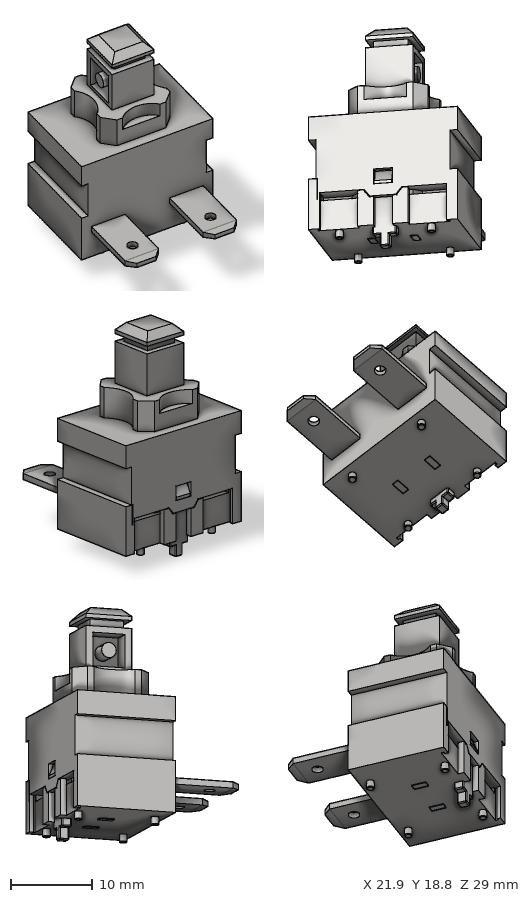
import cadquery as cq


BODY_LENGTH = 12.8
BODY_WIDTH = 18.8
WAIST_WIDTH = 16.9
CLIP_TOP_Z = 6.5
FLANGE_BOTTOM_Z = 11.5
BODY_TOP_Z = 14.5
FACE_X = -BODY_LENGTH / 2

RECESS_DEPTH = 0.8
RECESS_HALF_WIDTH = 8.0
RECESS_TOP_Z = 4.65
LIP_THICKNESS = 0.5
LIP_UNDERCUT = 0.3
SEAM_START_Y = 8.25
SEAM_WIDTH = 0.08
SEAM_DEPTH = 0.1

SLOT_BOTTOM_Z = 3.85
SLOT_DEPTH = 2.3
SLOT_RIB_HALF_WIDTH = 4.45
SLOT_RIB_HEIGHT = 0.95

POST_INNER_Y = 1.2
POST_OUTER_Y = 3.17
POST_CLEARANCE = 0.07
LOBE_BOTTOM_Z = 3.75
LOBE_TOP_HALF_WIDTH = 2.4
LOBE_BOTTOM_HALF_WIDTH = 1.65

WINDOW_WIDTH = 2.4
WINDOW_BOTTOM_Z = 5.3
WINDOW_TOP_Z = 7.2
WINDOW_DEPTH = 0.6
LATCH_WIDTH = 2.2
LATCH_SETBACK = 0.05
LATCH_RAMP_START_Z = 5.7
LATCH_TOP_Z = 7.05

COLLAR_SIZE = 10.0
COLLAR_TOP_Z = 18.5
COLLAR_CHAMFER = 1.5
SCALLOP_RADIUS = 3.7
SCALLOP_DEPTH = 1.15
POCKET_FLOOR_Z = 16.7

PLUNGER_SIZE = 6.0
PLUNGER_TOP_Z = 24.0
NECK_SIZE = 4.4
NECK_TOP_Z = 25.0
CAP_TOP_Z = 26.5
CAP_CHAMFER = 1.0
CAVITY_SIZE = 4.2
CAVITY_DEPTH = 2.5
CAVITY_CENTER_Z = 21.1
CAVITY_PIN_DIAMETER = 1.9

BLADE_Y = 5.58
BLADE_WIDTH = 4.8
BLADE_LENGTH = 9.1
BLADE_BOTTOM_Z = 3.85
BLADE_THICKNESS = 0.8
BLADE_TIP_LENGTH = 1.1
BLADE_TIP_WIDTH = 2.7
BLADE_TIP_THICKNESS = 0.65
BLADE_HOLE_DIAMETER = 1.4
BLADE_HOLE_X = 12.18

PIN_X = 5.0
PIN_Y = 5.8
PIN_DIAMETER = 0.95
PIN_LENGTH = 1.0
PIN_CHAMFER = 0.1
PEG_THICKNESS = 1.3
PEG_WIDTH = 3.0
PEG_SHOULDER_LENGTH = 1.0
PEG_TIP_WIDTH = 1.2
PEG_LENGTH = 2.5
PEG_CHAMFER = 0.15
PAD_X = -0.3
PAD_Y = 2.68
PAD_LENGTH = 1.9
PAD_WIDTH = 0.9
PAD_HEIGHT = 0.1


def box(x_range, y_range, z_range):
    """Box from its limits along each axis."""
    (x0, x1), (y0, y1), (z0, z1) = x_range, y_range, z_range
    return cq.Workplane("XY").box(x1 - x0, y1 - y0, z1 - z0, centered=False).translate((x0, y0, z0))


def column(length, width, z_bottom, z_top):
    """Rectangular block centred on the plunger axis."""
    return box((-length / 2, length / 2), (-width / 2, width / 2), (z_bottom, z_top))


def make_housing():
    flange = column(BODY_LENGTH, BODY_WIDTH, FLANGE_BOTTOM_Z, BODY_TOP_Z)
    waist = column(BODY_LENGTH, WAIST_WIDTH, CLIP_TOP_Z, FLANGE_BOTTOM_Z)
    base = column(BODY_LENGTH, BODY_WIDTH, 0, CLIP_TOP_Z)
    return flange.union(waist).union(base)


def make_recess():
    """Front recess, the undercuts behind its side lips and the slot above the base."""
    recess_x = FACE_X + RECESS_DEPTH
    half = RECESS_HALF_WIDTH
    recess = box((FACE_X, recess_x), (-half, half), (0, RECESS_TOP_Z))
    reach = half + LIP_UNDERCUT
    undercut = box((FACE_X + LIP_THICKNESS, recess_x), (-reach, reach), (0, RECESS_TOP_Z))

    slot_x = FACE_X + SLOT_DEPTH
    slot = box((recess_x, slot_x), (-half, half), (SLOT_BOTTOM_Z, RECESS_TOP_Z))
    rib_front_half_width = SLOT_RIB_HALF_WIDTH - SLOT_RIB_HEIGHT
    rib = (
        cq.Workplane("XY")
        .workplane(offset=SLOT_BOTTOM_Z)
        .polyline([
            (slot_x, -SLOT_RIB_HALF_WIDTH),
            (slot_x - SLOT_RIB_HEIGHT, -rib_front_half_width),
            (slot_x - SLOT_RIB_HEIGHT, rib_front_half_width),
            (slot_x, SLOT_RIB_HALF_WIDTH),
        ])
        .close()
        .extrude(RECESS_TOP_Z - SLOT_BOTTOM_Z)
    )
    return recess.union(undercut).union(slot.cut(rib))


def make_lobe(clearance):
    """Tapered lobe hanging below the upper housing, enlarged by a clearance."""
    top = LOBE_TOP_HALF_WIDTH + clearance
    bottom = LOBE_BOTTOM_HALF_WIDTH + clearance
    bottom_z = LOBE_BOTTOM_Z - clearance
    return (
        cq.Workplane("YZ")
        .workplane(offset=FACE_X)
        .polyline([(-top, RECESS_TOP_Z), (-bottom, bottom_z), (bottom, bottom_z), (top, RECESS_TOP_Z)])
        .close()
        .extrude(RECESS_DEPTH)
    )


def make_posts():
    """Pair of guide posts, notched to clear the lobe."""
    x_range = (FACE_X, FACE_X + RECESS_DEPTH)
    z_range = (0, RECESS_TOP_Z - POST_CLEARANCE)
    posts = box(x_range, (-POST_OUTER_Y, POST_OUTER_Y), z_range)
    posts = posts.cut(box(x_range, (-POST_INNER_Y, POST_INNER_Y), z_range))
    return posts.cut(make_lobe(POST_CLEARANCE))


def make_window():
    """Latch window, less the ramped latch nose standing in it."""
    inner_x = FACE_X + WINDOW_DEPTH
    nose_x = FACE_X + LATCH_SETBACK
    half = WINDOW_WIDTH / 2
    opening = box((FACE_X, inner_x), (-half, half), (WINDOW_BOTTOM_Z, WINDOW_TOP_Z))
    latch = (
        cq.Workplane("XZ")
        .polyline([
            (nose_x, WINDOW_BOTTOM_Z),
            (nose_x, LATCH_RAMP_START_Z),
            (inner_x, LATCH_TOP_Z),
            (inner_x, WINDOW_BOTTOM_Z),
        ])
        .close()
        .extrude(LATCH_WIDTH / 2, both=True)
    )
    return opening.cut(latch)


def make_lip_seam():
    """Fine groove down the +Y lip."""
    return box(
        (FACE_X, FACE_X + SEAM_DEPTH),
        (SEAM_START_Y, SEAM_START_Y + SEAM_WIDTH),
        (SLOT_BOTTOM_Z, CLIP_TOP_Z),
    )


def make_collar():
    """Chamfered square collar with open scallops along Y and blind ones along X."""
    collar = column(COLLAR_SIZE, COLLAR_SIZE, BODY_TOP_Z, COLLAR_TOP_Z).edges("|Z").chamfer(COLLAR_CHAMFER)
    offset = COLLAR_SIZE / 2 - SCALLOP_DEPTH + SCALLOP_RADIUS
    scallop = cq.Workplane("XY").circle(SCALLOP_RADIUS).extrude(COLLAR_TOP_Z)
    for side in (-1, 1):
        collar = collar.cut(scallop.translate((0, side * offset, BODY_TOP_Z)))
        collar = collar.cut(scallop.translate((side * offset, 0, POCKET_FLOOR_Z)))
    return collar


def make_plunger():
    """Square plunger with a grooved neck, bevelled cap and a cavity holding a round pin."""
    stem = column(PLUNGER_SIZE, PLUNGER_SIZE, COLLAR_TOP_Z, PLUNGER_TOP_Z)
    neck = column(NECK_SIZE, NECK_SIZE, PLUNGER_TOP_Z, NECK_TOP_Z)
    cap = column(PLUNGER_SIZE, PLUNGER_SIZE, NECK_TOP_Z, CAP_TOP_Z).faces(">Z").chamfer(CAP_CHAMFER)
    cavity = (
        cq.Workplane("XZ", origin=(0, -PLUNGER_SIZE / 2, CAVITY_CENTER_Z))
        .rect(CAVITY_SIZE, CAVITY_SIZE)
        .circle(CAVITY_PIN_DIAMETER / 2)
        .extrude(-CAVITY_DEPTH)
    )
    return stem.cut(cavity).union(neck).union(cap)


def make_blade():
    """Blade terminal on the +X face, narrowed and thinned at its tip."""
    root_x = BODY_LENGTH / 2
    tip_x = root_x + BLADE_LENGTH
    taper_x = tip_x - BLADE_TIP_LENGTH
    half = BLADE_WIDTH / 2
    tip_half = BLADE_TIP_WIDTH / 2
    plan = (
        cq.Workplane("XY")
        .polyline([
            (root_x, -half),
            (taper_x, -half),
            (tip_x, -tip_half),
            (tip_x, tip_half),
            (taper_x, half),
            (root_x, half),
        ])
        .close()
        .extrude(BLADE_THICKNESS)
    )
    top = BLADE_THICKNESS
    thinning = (BLADE_THICKNESS - BLADE_TIP_THICKNESS) / 2
    profile = (
        cq.Workplane("XZ")
        .polyline([
            (root_x, 0),
            (taper_x, 0),
            (tip_x, thinning),
            (tip_x, top - thinning),
            (taper_x, top),
            (root_x, top),
        ])
        .close()
        .extrude(half, both=True)
    )
    hole = cq.Workplane("XY").center(BLADE_HOLE_X, 0).circle(BLADE_HOLE_DIAMETER / 2).extrude(top)
    return plan.intersect(profile).cut(hole).translate((0, 0, BLADE_BOTTOM_Z))


def make_pin():
    """Locating pin below the housing, chamfered at its free end."""
    return cq.Workplane("XY").circle(PIN_DIAMETER / 2).extrude(-PIN_LENGTH).faces("<Z").chamfer(PIN_CHAMFER)


def make_peg():
    """Stepped peg below the tongue, with bevelled edges."""
    front_x = FACE_X + RECESS_DEPTH
    x_range = (front_x, front_x + PEG_THICKNESS)
    half = PEG_WIDTH / 2
    tip_half = PEG_TIP_WIDTH / 2
    shoulder = box(x_range, (-half, half), (-PEG_SHOULDER_LENGTH, 0))
    tip = box(x_range, (-tip_half, tip_half), (-PEG_LENGTH, 0))
    bevelled_edges = "|Z or <Z"
    shoulder = shoulder.edges(bevelled_edges).chamfer(PEG_CHAMFER)
    tip = tip.edges(bevelled_edges).chamfer(PEG_CHAMFER)
    return shoulder.union(tip)


def make_pad():
    """Low rectangular pad on the underside."""
    return cq.Workplane("XY").rect(PAD_LENGTH, PAD_WIDTH).extrude(-PAD_HEIGHT)


result = make_housing()
result = result.cut(make_recess()).cut(make_window()).cut(make_lip_seam())
result = result.union(make_posts()).union(make_lobe(0))
result = result.union(make_collar()).union(make_plunger()).union(make_peg())
for y_side in (-1, 1):
    result = result.union(make_blade().translate((0, y_side * BLADE_Y, 0)))
    result = result.union(make_pad().translate((PAD_X, y_side * PAD_Y, 0)))
    for x_side in (-1, 1):
        result = result.union(make_pin().translate((x_side * PIN_X, y_side * PIN_Y, 0)))